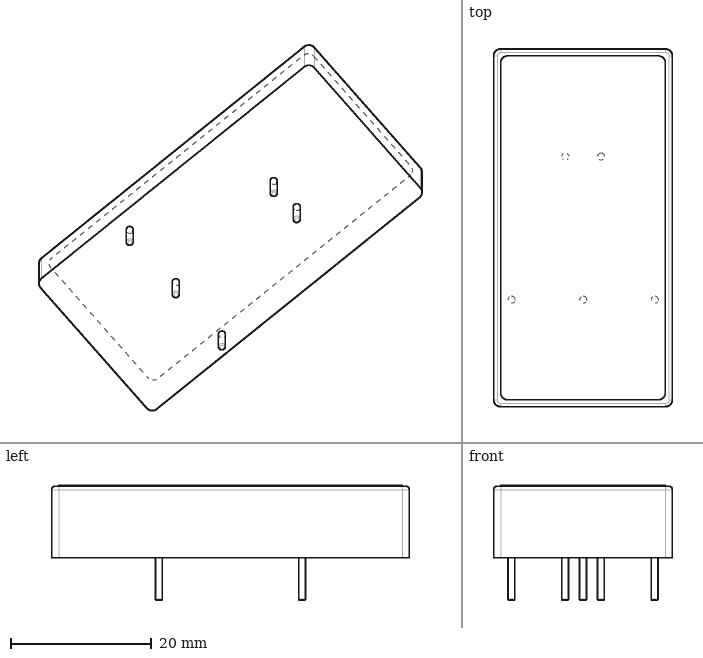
import cadquery as cq

case_width = 25.4
case_length = 50.8
case_height = 10.2
corner_radius = 1.0
top_edge_radius = 0.5

panel_inset = 1.0
panel_thickness = 0.1
panel_corner_radius = 1.0

pitch = 2.54
pin_diameter = 1.0
pin_length = 6.0
pin_tip_radius = 0.2
row_offset = 4 * pitch
front_row_x = [-4 * pitch, 0, 4 * pitch]
back_row_x = [-pitch, pitch]


def make_case():
    case = cq.Workplane("XY").box(case_width, case_length, case_height, centered=(True, True, False))
    return case.edges("|Z").fillet(corner_radius).faces(">Z").edges().fillet(top_edge_radius)


def make_panel():
    panel_width = case_width - 2 * panel_inset
    panel_length = case_length - 2 * panel_inset
    panel = (
        cq.Workplane("XY", origin=(0, 0, case_height))
        .box(panel_width, panel_length, panel_thickness, centered=(True, True, False))
    )
    return panel.edges("|Z").fillet(panel_corner_radius)


def make_pin(x, y):
    pin = cq.Workplane("XY", origin=(x, y, 0)).circle(pin_diameter / 2).extrude(-pin_length)
    return pin.faces("<Z").edges().fillet(pin_tip_radius)


result = make_case().union(make_panel())
for row_y, row_x in [(-row_offset, front_row_x), (row_offset, back_row_x)]:
    for pin_x in row_x:
        result = result.union(make_pin(pin_x, row_y))